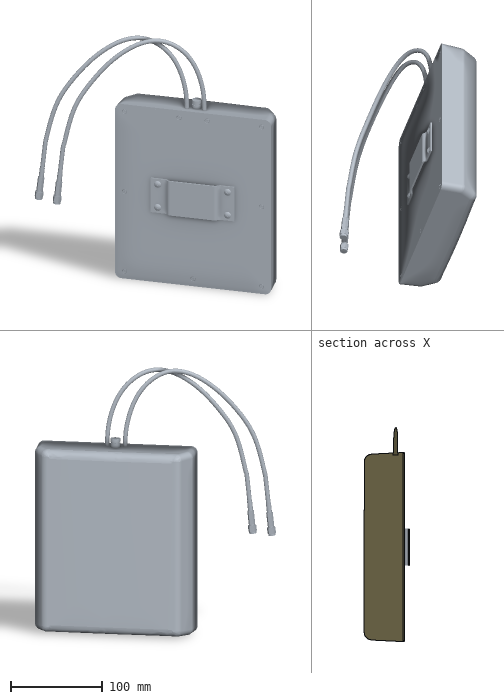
import cadquery as cq
import math


cover_width = 178.0
cover_height = 208.4
cover_depth = 45.1
wall_depth = 25.0
bevel_width = 12.4
crown_rise = 1.3
side_draft = math.radians(2.2)
end_draft = math.radians(2.9)
wall_corner_radius = 7.0
front_edge_radius = 9.0
bevel_foot_radius = 5.0

plug_y = 14.8
plug_diameter = 10.7
plug_length = 8.8
plug_root = 3.0
plug_groove_width = 1.3
plug_groove_depth = 0.7
plug_cap_length = 3.7

rim_width = 1.7
plate_thickness = 2.0
plate_screw_x = 78.2
plate_screw_z = 95.4
plate_screw_pair_x = 16.0
screw_recess_diameter = 5.8
screw_recess_depth = 1.0
screw_head_diameter = 4.4
cross_length = 2.6
cross_width = 0.7
cross_depth = 0.6

bracket_width = 95.6
bracket_height = 40.7
bracket_thickness = 1.9
bracket_offset = 3.5
bracket_bend_length = 7.4
bracket_web_width = 49.6
bracket_screw_x = 39.9
bracket_screw_z = 13.8
bracket_head_diameter = 8.0
bracket_head_height = 1.6

cable_diameter = 5.0
cable_x = 10.0
cable_y = 10.2
cable_entry_depth = 3.0

sleeve_diameter = 5.6
sleeve_length = 10.6
crimp_size = 6.4
crimp_length = 15.0
neck_diameter = 6.6
neck_length = 1.8
nut_size = 8.2
nut_length = 6.6
end_ring_diameter = 8.0
end_ring_length = 2.4

left_route = [
    (-14.4, 9.8, 137.8),
    (-29.9, 5.8, 169.7),
    (-57.3, -2.4, 186.7),
    (-101.6, -15.9, 169.7),
    (-130.8, -26.8, 137.8),
    (-148.0, -33.1, 106.0),
    (-157.3, -36.9, 68.8),
    (-160.9, -39.5, 34.7),
]
right_route = [
    (6.0, 9.8, 137.8),
    (-9.5, 5.8, 169.7),
    (-36.9, -4.4, 186.7),
    (-80.8, -20.3, 169.7),
    (-109.1, -31.4, 137.8),
    (-125.9, -39.3, 106.0),
    (-134.8, -43.8, 68.8),
    (-138.7, -46.2, 34.7),
]
left_end_direction = (-0.10, -0.06, -1.0)
right_end_direction = (-0.09, -0.06, -1.0)

half_width = cover_width / 2
half_height = cover_height / 2


def make_cover_block():
    """Bevelled, crowned section along Z, trimmed to walls that draft in at both ends."""
    wall_x = half_width - wall_depth * math.tan(side_draft)
    shoulder_x = wall_x - bevel_width
    shoulder_y = cover_depth - crown_rise
    section = (
        cq.Workplane("XY")
        .workplane(offset=-half_height)
        .moveTo(-half_width, 0)
        .lineTo(half_width, 0)
        .lineTo(wall_x, wall_depth)
        .lineTo(shoulder_x, shoulder_y)
        .threePointArc((0, cover_depth), (-shoulder_x, shoulder_y))
        .lineTo(-wall_x, wall_depth)
        .close()
        .extrude(cover_height)
    )
    front_z = half_height - cover_depth * math.tan(end_draft)
    ends = (
        cq.Workplane("YZ")
        .workplane(offset=-half_width)
        .moveTo(0, -half_height)
        .lineTo(cover_depth, -front_z)
        .lineTo(cover_depth, front_z)
        .lineTo(0, half_height)
        .close()
        .extrude(cover_width)
    )
    block = section.intersect(ends)
    wall_feet = cq.selectors.BoxSelector(
        (-half_width, wall_depth - 1, -1), (half_width, wall_depth + 1, 1)
    )
    return block.edges(wall_feet).fillet(bevel_foot_radius)


def round_cover(block):
    """Rounds the end edges of the walls and bevels, then the whole edge of the crowned front."""
    margin = 2.0
    crown_start = cover_depth - crown_rise - margin
    walls_and_bevels = cq.selectors.BoxSelector(
        (-half_width, 0.1, -half_height), (half_width, crown_start, half_height)
    )
    block = block.edges("not |Z").edges(walls_and_bevels).fillet(wall_corner_radius)
    return block.faces(">Y").edges().fillet(front_edge_radius)


def plate_outline(thickness):
    return (
        cq.Workplane("XZ")
        .rect(cover_width - 2 * rim_width, cover_height - 2 * rim_width)
        .extrude(-thickness)
        .edges("|Y")
        .fillet(wall_corner_radius - rim_width)
    )


def make_plug():
    neck_start = plug_length - plug_cap_length - plug_groove_width
    radius = plug_diameter / 2
    return (
        cq.Workplane("XY", origin=(0, plug_y, half_height))
        .workplane(offset=-plug_root)
        .circle(radius)
        .extrude(plug_root + neck_start)
        .faces(">Z")
        .workplane()
        .circle(radius - plug_groove_depth)
        .extrude(plug_groove_width)
        .faces(">Z")
        .workplane()
        .circle(radius)
        .extrude(plug_cap_length)
    )


def cut_cross(body, x, y, z):
    """Cuts a Phillips cross into a screw head whose crown is at depth y."""
    for across, up in ((cross_length, cross_width), (cross_width, cross_length)):
        arm = cq.Workplane("XY").box(across, 2 * cross_depth, up).translate((x, y, z))
        body = body.cut(arm)
    return body


def make_plate():
    places = [(side * plate_screw_x, row * plate_screw_z) for side in (-1, 1) for row in (-1, 0, 1)]
    places += [(0, -plate_screw_z)]
    places += [(side * plate_screw_pair_x, plate_screw_z) for side in (-1, 1)]
    plate = plate_outline(plate_thickness)
    for x, z in places:
        gap = (
            cq.Workplane("XZ", origin=(x, 0, z))
            .circle(screw_recess_diameter / 2)
            .circle(screw_head_diameter / 2)
            .extrude(-screw_recess_depth)
        )
        plate = cut_cross(plate.cut(gap), x, 0, z)
    return plate


def bracket_half():
    """The +X half: web, S-bend down to the foot, and foot."""
    web_end = bracket_web_width / 2
    foot_start = web_end + bracket_bend_length
    bend_middle = (web_end + foot_start) / 2
    foot_outer = -bracket_thickness
    web_inner = -bracket_offset
    web_outer = foot_outer - bracket_offset
    return (
        cq.Workplane("XY")
        .workplane(offset=-bracket_height / 2)
        .moveTo(0, web_outer)
        .lineTo(web_end, web_outer)
        .tangentArcPoint((bend_middle, (web_outer + foot_outer) / 2), relative=False)
        .tangentArcPoint((foot_start, foot_outer), relative=False)
        .lineTo(bracket_width / 2, foot_outer)
        .lineTo(bracket_width / 2, 0)
        .lineTo(foot_start, 0)
        .tangentArcPoint((bend_middle, web_inner / 2), relative=False)
        .tangentArcPoint((web_end, web_inner), relative=False)
        .lineTo(0, web_inner)
        .close()
        .extrude(bracket_height)
    )


def domed_head(x, z):
    radius = bracket_head_diameter / 2
    sphere_radius = (radius**2 + bracket_head_height**2) / (2 * bracket_head_height)
    crown_y = -bracket_thickness - bracket_head_height
    sphere = cq.Workplane("XY").sphere(sphere_radius).translate((x, crown_y + sphere_radius, z))
    stub = cq.Workplane("XZ", origin=(x, -bracket_thickness, z)).circle(radius).extrude(bracket_head_height)
    return cut_cross(sphere.intersect(stub), x, crown_y, z)


def make_bracket():
    half = bracket_half()
    bracket = half.union(half.mirror("YZ"))
    for x in (-bracket_screw_x, bracket_screw_x):
        for z in (-bracket_screw_z, bracket_screw_z):
            bracket = bracket.union(domed_head(x, z))
    return bracket


def make_cable(exit_x, route, end_direction):
    """A straight stub out of the cover, then a smooth run to the connector."""
    bottom = cq.Vector(exit_x, cable_y, half_height - cable_entry_depth)
    top = cq.Vector(exit_x, cable_y, half_height)
    points = [top] + [cq.Vector(*point) for point in route]
    stub = cq.Edge.makeLine(bottom, top)
    run = cq.Edge.makeSpline(points, tangents=[cq.Vector(0, 0, 1), cq.Vector(*end_direction)])
    path = cq.Workplane(cq.Wire.assembleEdges([stub, run]))
    return cq.Workplane("XY", origin=bottom.toTuple()).circle(cable_diameter / 2).sweep(path)


def make_connector(start, direction):
    """Sleeve, hexagonal crimp, neck, hexagonal nut and end ring, in line with the cable's end."""
    dx, dy, dz = direction
    line = cq.Workplane(cq.Plane(origin=start, xDir=(-dz, 0, dx), normal=direction))
    flats_to_corners = 1 / math.cos(math.pi / 6)
    crimp_start = sleeve_length
    neck_start = crimp_start + crimp_length
    nut_start = neck_start + neck_length
    ring_start = nut_start + nut_length
    sleeve = line.circle(sleeve_diameter / 2).extrude(sleeve_length)
    crimp = line.workplane(offset=crimp_start).polygon(6, crimp_size * flats_to_corners).extrude(crimp_length)
    neck = line.workplane(offset=neck_start).circle(neck_diameter / 2).extrude(neck_length)
    nut = line.workplane(offset=nut_start).polygon(6, nut_size * flats_to_corners).extrude(nut_length)
    ring = line.workplane(offset=ring_start).circle(end_ring_diameter / 2).extrude(end_ring_length)
    return sleeve.union(crimp).union(neck).union(nut).union(ring)


left_cable = make_cable(-cable_x, left_route, left_end_direction)
right_cable = make_cable(cable_x, right_route, right_end_direction)
left_connector = make_connector(left_route[-1], left_end_direction)
right_connector = make_connector(right_route[-1], right_end_direction)

plate = make_plate()
bracket = make_bracket()
cover = round_cover(make_cover_block()).union(make_plug())
cover = cover.cut(plate_outline(plate_thickness)).cut(left_cable).cut(right_cable)

bodies = [cover, plate, bracket, left_cable, right_cable, left_connector, right_connector]
result = cq.Compound.makeCompound([body.val() for body in bodies])